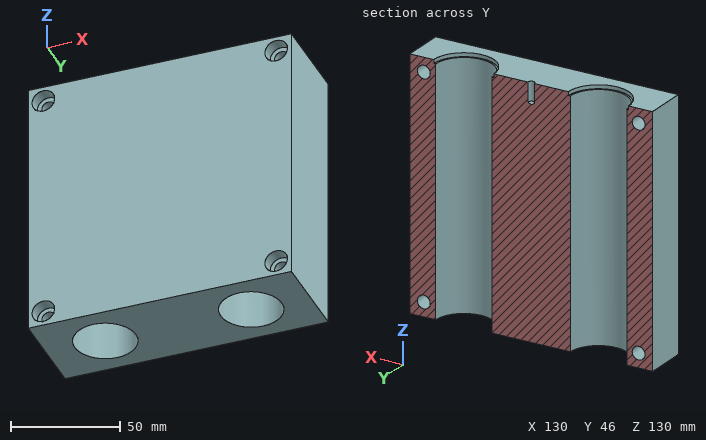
import cadquery as cq
import math

WIDTH = 130.0
THICKNESS = 46.0
HEIGHT = 130.0

BORE_SPACING = 72.0
BORE_DIAMETER = 30.0
RECESS_DIAMETER = 32.0
RECESS_DEPTH = 2.0

PIN_DIAMETER = 3.2
PIN_DEPTH = 10.0
DRILL_TIP_ANGLE = 118.0

MOUNT_INSET = 7.5
MOUNT_DIAMETER = 6.6
COUNTERBORE_DIAMETER = 11.0
COUNTERBORE_DEPTH = 6.5


def make_block():
    return cq.Workplane("XY").box(WIDTH, THICKNESS, HEIGHT)


def cut_bores(body):
    return (
        body.faces(">Z").workplane(origin=(0, 0, 0))
        .rarray(BORE_SPACING, 1.3, 2, 1)
        .cboreHole(BORE_DIAMETER, RECESS_DIAMETER, RECESS_DEPTH)
    )


def cut_pin_hole(body):
    radius = PIN_DIAMETER / 2
    tip_length = radius / math.tan(math.radians(DRILL_TIP_ANGLE / 2))
    top = HEIGHT / 2
    shoulder = top - PIN_DEPTH
    drill = (
        cq.Workplane("XZ")
        .moveTo(0, top)
        .lineTo(radius, top)
        .lineTo(radius, shoulder)
        .lineTo(0, shoulder - tip_length)
        .close()
        .revolve(360, (0, 0, 0), (0, 1, 0))
    )
    return body.cut(drill)


def cut_mounting_holes(body):
    return (
        body.faces("<Y").workplane(origin=(0, 0, 0))
        .rarray(WIDTH - 2 * MOUNT_INSET, HEIGHT - 2 * MOUNT_INSET, 2, 2)
        .cboreHole(MOUNT_DIAMETER, COUNTERBORE_DIAMETER, COUNTERBORE_DEPTH)
    )


result = cut_mounting_holes(cut_pin_hole(cut_bores(make_block())))